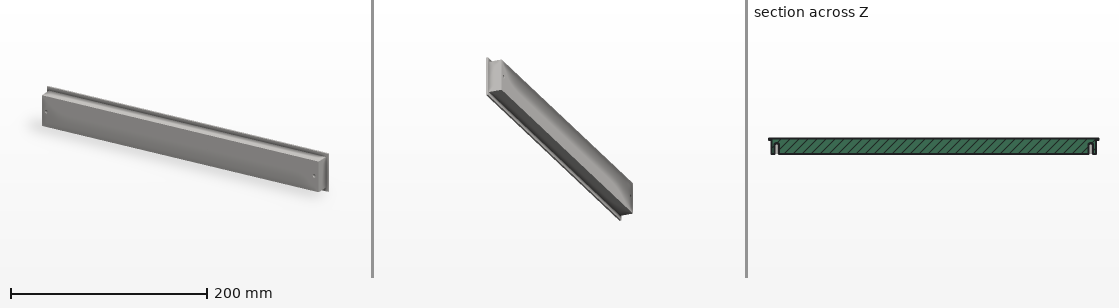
import cadquery as cq
import math

length = 336.0
depth = 16.0
height = 42.0

flange_thickness = 2.0
end_margin = 2.7
side_margin = 4.0
block_length = length - 2 * end_margin
block_height = height - 2 * side_margin
front_y = -depth / 2

hole_radius = 1.85
hole_depth = 10.0
hole_spacing = 320.0
drill_point_angle = 118.0
tip_depth = hole_radius / math.tan(math.radians(drill_point_angle / 2))


def make_drill(x):
    """Drill-shaped solid with a conical tip, entering the front face at position x."""
    profile = (
        cq.Workplane("XY")
        .moveTo(0, front_y)
        .lineTo(hole_radius, front_y)
        .lineTo(hole_radius, front_y + hole_depth)
        .lineTo(0, front_y + hole_depth + tip_depth)
        .close()
    )
    return profile.revolve(360, (0, 0, 0), (0, 1, 0)).translate((x, 0, 0))


flange_center_y = (depth - flange_thickness) / 2
flange = cq.Workplane("XY").box(length, flange_thickness, height).translate((0, flange_center_y, 0))
block = cq.Workplane("XY").box(block_length, depth, block_height)

result = flange.union(block)
for side in (-1, 1):
    result = result.cut(make_drill(side * hole_spacing / 2))